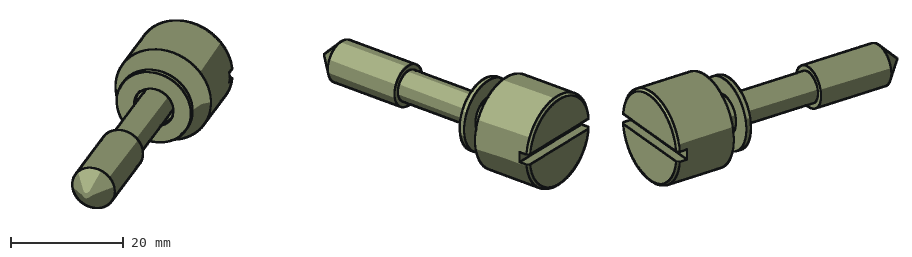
import cadquery as cq

total_length = 53.0
head_y = total_length / 2
tip_y = -total_length / 2

head_radius = 9.0
head_side_length = 12.0
head_length = 14.0
head_chamfer = 0.5
dome_mid_radius = 6.35
dome_mid_depth = 13.25
neck_radius = 3.0
shank_start = 33.95
shank_radius = 4.05
cone_length = shank_radius

slot_width = 2.0
slot_depth = 2.0

washer_start = 16.0
washer_thickness = 1.0
washer_radius = 7.0
washer_hole_radius = 3.7


def make_screw():
    """Domed head, neck, thicker shank and conical point, turned about Y."""
    dome_y = head_y - head_side_length
    neck_y = head_y - head_length
    shank_y = head_y - shank_start
    body = (
        cq.Workplane("XY")
        .moveTo(0, head_y)
        .lineTo(head_radius - head_chamfer, head_y)
        .lineTo(head_radius, head_y - head_chamfer)
        .lineTo(head_radius, dome_y)
        .threePointArc((dome_mid_radius, head_y - dome_mid_depth), (neck_radius, neck_y))
        .lineTo(neck_radius, shank_y)
        .lineTo(shank_radius, shank_y)
        .lineTo(shank_radius, tip_y + cone_length)
        .lineTo(0, tip_y)
        .close()
        .revolve(360, (0, 0, 0), (0, 1, 0))
    )
    slot = (
        cq.Workplane("XY")
        .box(2 * head_radius, slot_depth, slot_width)
        .translate((0, head_y - slot_depth / 2, 0))
    )
    return body.cut(slot)


def make_washer():
    """Flat ring around the neck."""
    return (
        cq.Workplane("XZ", origin=(0, head_y - washer_start, 0))
        .circle(washer_radius)
        .circle(washer_hole_radius)
        .extrude(washer_thickness)
    )


screw = make_screw()
washer = make_washer()

result = cq.Compound.makeCompound([screw.val(), washer.val()])